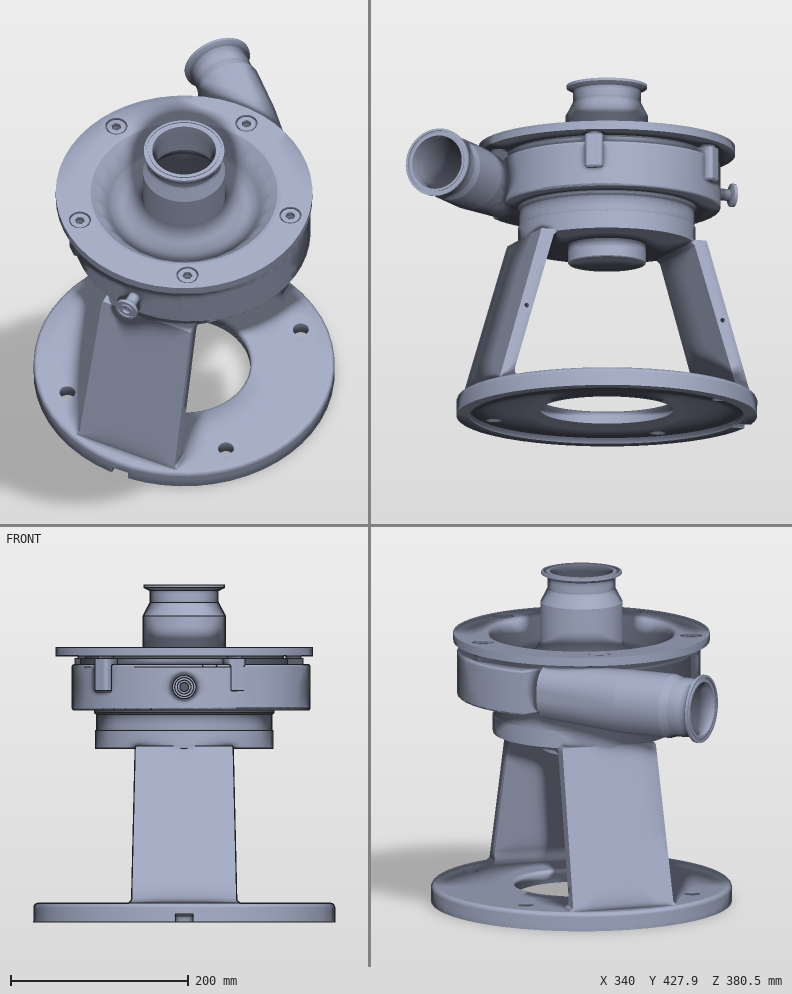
import cadquery as cq
import math

BASE_R = 170.0
BASE_T = 21.2
BASE_BORE_R = 75.0
BASE_FILLET = 5.0
BASE_BOLT_R = 140.0
BASE_BOLT_D = 18.0
BASE_BOLT_COUNT = 4
BASE_BOLT_START = 45.0
NOTCH_W = 20.0
NOTCH_H = 9.3
RECESS_R = 155.0
RECESS_DEPTH = 6.5

LEG_TOP_Z = 198.5
LEG_TOP_OUT_Y = 99.5
LEG_TOP_IN_Y = 83.0
LEG_BOT_OUT_Y = 152.0
LEG_BOT_IN_Y = 137.0
LEG_TOP_HALF_W = 55.5
LEG_BOT_HALF_W = 59.5
LEG_FOOT_R = 10.5
LEG_WELD = 3.5
LEG_TOP_WELD = 4.5
LEG_TOP_BEVEL = 1.0
LEG_HOLE_Y = 118.2
LEG_HOLE_Z = 107.5
LEG_HOLE_D = 5.5
LEG_HOLE_DEPTH = 15.0

RING_R = 100.3
RING_BOTTOM_Z = 196.0
RING_TOP_Z = 216.0
NECK_R = 99.0
NECK_TOP_Z = 234.0
COLLAR_R = 101.5
HOUSING_R = 44.0
HOUSING_BOTTOM_Z = 175.0
HOUSING_CHAMFER = 1.0

CASE_BOTTOM_Z = 239.3
CASE_TOP_Z = 290.5
CASE_FILLET = 2.5
VOLUTE_R = 134.3
VOLUTE_X = 7.9
VOLUTE_Y = 3.3
TONGUE_R = 118.3

PLATE_R = 145.0
PLATE_BOTTOM_Z = 300.5
PLATE_TOP_Z = 310.0
DISH_RIM_R = 107.0
DISH_RIM_CHAMFER = 2.5
DISH_DEPTH = 25.0
DISH_FILLET = 15.0
COVER_RING_R = 117.0
SPIGOT_R = 112.0

LUG_COUNT = 5
LUG_FIRST_ANGLE = 9.0
LUG_PITCH_R = 125.0
LUG_W = 20.0
LUG_OUTER_R = 135.0
LUG_INNER_R = 105.0
LUG_BOTTOM_Z = 259.5
LUG_TOP_Z = 297.5
LUG_FILLET = 4.0
LUG_CHAMFER = 2.0
WASHER_R = 8.5
SINK_R = 12.5
SINK_DEPTH = 4.0
HEAD_R = 10.5
HEAD_RECESS = 1.0
HEX_FLATS = 10.0
HEX_DEPTH = 6.0
HEX_TIP_R = 4.5
HEX_TIP_DEPTH = 2.6

SUCTION_R = 46.5
SUCTION_NECK_R = 38.4
SUCTION_CONE_BOTTOM_Z = 345.5
SUCTION_CONE_TOP_Z = 361.0
SUCTION_TOP_Z = 380.5
SUCTION_FLANGE_R = 45.5
SUCTION_BORE_R = 36.0
SUCTION_BORE_BOTTOM_Z = 250.0
SUCTION_BORE_NECK_Z = 341.0
SUCTION_FILLET = 19.0

OUTLET_TURN = -45.0
OUTLET_OFFSET = 115.0
OUTLET_Z = 262.2
OUTLET_R = 36.4
OUTLET_NECK_R = 33.0
OUTLET_WELD_R = 33.5
OUTLET_FLANGE_R = 38.75
OUTLET_BORE_R = 30.7
OUTLET_FACE = 211.0
OUTLET_WELD_END = 198.0
OUTLET_WELD_START = 193.5
OUTLET_CONE_END = 183.0
OUTLET_CONE_START = 173.0
DUCT_STRAIGHT_START = 116.5
DUCT_START = 15.0
DUCT_W = 50.0
DUCT_H = 61.0
DUCT_CORNER_R = 24.0
BORE_START = 60.0

FERRULE_RIM = 2.9
FERRULE_TAPER = 3.6
GROOVE_DEPTH = 1.5
GROOVE_W = 3.0
GROOVE_INSET = 2.5

DRAIN_Z = 265.3
DRAIN_R = 6.7
DRAIN_BORE_R = 5.0
DRAIN_FLANGE_R = 13.2
DRAIN_FACE_Y = -153.5
DRAIN_START_Y = -115.0
DRAIN_RIM = 4.0
DRAIN_TAPER = 2.0
DRAIN_BORE_DEPTH = 30.0


def disc(radius, z_low, z_high):
    return cq.Workplane("XY").workplane(offset=z_low).circle(radius).extrude(z_high - z_low)


def revolve_about_z(profile):
    return profile.close().revolve(360, (0, 0, 0), (0, 1, 0))


def base_plate():
    plate = disc(BASE_R, 0, BASE_T).cut(disc(BASE_BORE_R, 0, BASE_T))
    plate = plate.faces(">Z").edges().fillet(BASE_FILLET)
    bolts = (
        cq.Workplane("XY")
        .polarArray(BASE_BOLT_R, BASE_BOLT_START, 360, BASE_BOLT_COUNT)
        .circle(BASE_BOLT_D / 2)
        .extrude(BASE_T)
    )
    recess = disc(RECESS_R, 0, RECESS_DEPTH)
    rim_width = BASE_R - RECESS_R
    notch = cq.Workplane("XY").box(NOTCH_W, 2 * rim_width, NOTCH_H, centered=(True, True, False))
    return plate.cut(bolts).cut(recess).cut(notch.translate((0, -BASE_R, 0)))


def leg():
    """Leg on the -Y side: a sloping plate that narrows upward."""
    inner_slope = (LEG_BOT_IN_Y - LEG_TOP_IN_Y) / (LEG_TOP_Z - BASE_T)
    lean = math.atan(inner_slope)
    weld_y = LEG_TOP_IN_Y + inner_slope * (LEG_TOP_Z - RING_BOTTOM_Z + LEG_TOP_WELD)

    half_corner = (math.pi / 2 - lean) / 2
    tangent = LEG_FOOT_R / math.tan(half_corner)
    arc_gap = LEG_FOOT_R / math.sin(half_corner) - LEG_FOOT_R
    face_point = (-LEG_BOT_IN_Y + tangent * math.sin(lean), BASE_T + tangent * math.cos(lean))
    arc_point = (-LEG_BOT_IN_Y + arc_gap * math.cos(half_corner), BASE_T + arc_gap * math.sin(half_corner))
    base_point = (-LEG_BOT_IN_Y + tangent, BASE_T)

    side = (
        cq.Workplane("YZ")
        .moveTo(-LEG_BOT_OUT_Y, BASE_T)
        .lineTo(-LEG_TOP_OUT_Y, LEG_TOP_Z)
        .lineTo(-LEG_TOP_IN_Y, LEG_TOP_Z)
        .lineTo(-weld_y + LEG_TOP_WELD, RING_BOTTOM_Z)
        .lineTo(-weld_y, RING_BOTTOM_Z - LEG_TOP_WELD)
        .lineTo(*face_point)
        .threePointArc(arc_point, base_point)
        .close()
        .extrude(LEG_BOT_HALF_W + LEG_WELD, both=True)
    )
    front = (
        cq.Workplane("XZ")
        .moveTo(-LEG_BOT_HALF_W - LEG_WELD, BASE_T)
        .lineTo(-LEG_BOT_HALF_W, BASE_T + LEG_WELD)
        .lineTo(-LEG_TOP_HALF_W, RING_BOTTOM_Z)
        .lineTo(-LEG_TOP_HALF_W + LEG_TOP_BEVEL, LEG_TOP_Z)
        .lineTo(LEG_TOP_HALF_W - LEG_TOP_BEVEL, LEG_TOP_Z)
        .lineTo(LEG_TOP_HALF_W, RING_BOTTOM_Z)
        .lineTo(LEG_BOT_HALF_W, BASE_T + LEG_WELD)
        .lineTo(LEG_BOT_HALF_W + LEG_WELD, BASE_T)
        .close()
        .extrude(LEG_BOT_OUT_Y)
    )
    hole = (
        cq.Workplane("YZ", origin=(-LEG_BOT_HALF_W, -LEG_HOLE_Y, LEG_HOLE_Z))
        .circle(LEG_HOLE_D / 2)
        .extrude(LEG_HOLE_DEPTH)
    )
    return side.intersect(front).cut(hole)


def bracket():
    front_leg = leg()
    rear_leg = front_leg.mirror("XZ")
    ring = disc(RING_R, RING_BOTTOM_Z, RING_TOP_Z)
    neck = disc(NECK_R, RING_TOP_Z, CASE_BOTTOM_Z)
    collar = disc(COLLAR_R, NECK_TOP_Z, CASE_BOTTOM_Z).faces("<Z").edges().chamfer(COLLAR_R - NECK_R)
    housing = disc(HOUSING_R, HOUSING_BOTTOM_Z, RING_BOTTOM_Z).faces("<Z").edges().chamfer(HOUSING_CHAMFER)
    return front_leg.union(rear_leg).union(ring).union(neck).union(collar).union(housing)


def volute_casing():
    """Casing drum whose outline is two tangent arcs meeting at -X."""
    diagonal = math.sqrt(0.5)
    left_x = VOLUTE_X - VOLUTE_R
    tongue_x = left_x + TONGUE_R
    drum = (
        cq.Workplane("XY")
        .workplane(offset=CASE_BOTTOM_Z)
        .moveTo(VOLUTE_X + VOLUTE_R * diagonal, VOLUTE_Y + VOLUTE_R * diagonal)
        .threePointArc((VOLUTE_X, VOLUTE_Y - VOLUTE_R), (left_x, VOLUTE_Y))
        .threePointArc(
            (tongue_x, VOLUTE_Y + TONGUE_R),
            (tongue_x + TONGUE_R * diagonal, VOLUTE_Y + TONGUE_R * diagonal),
        )
        .close()
        .extrude(CASE_TOP_Z - CASE_BOTTOM_Z)
    )
    return drum.faces("<Z or >Z").edges().fillet(CASE_FILLET)


def cover():
    plate = disc(PLATE_R, PLATE_BOTTOM_Z, PLATE_TOP_Z)
    seat = disc(COVER_RING_R, CASE_TOP_Z, LUG_TOP_Z)
    spigot = disc(SPIGOT_R, LUG_TOP_Z, PLATE_BOTTOM_Z)
    return plate.union(seat).union(spigot)


def dish():
    """Ring-shaped hollow around the suction pipe, with a 45 degree outer wall."""
    half = math.radians(22.5)
    floor_z = PLATE_TOP_Z - DISH_DEPTH
    wall_foot_r = DISH_RIM_R - DISH_DEPTH
    tangent = DISH_FILLET * math.tan(half)
    floor_r = wall_foot_r - tangent
    wall_r = wall_foot_r + tangent * math.cos(2 * half)
    wall_z = floor_z + tangent * math.sin(2 * half)
    mid_r = floor_r + DISH_FILLET * math.sin(half)
    mid_z = floor_z + DISH_FILLET * (1 - math.cos(half))
    pipe_fillet_r = SUCTION_R + SUCTION_FILLET
    side_gap = SUCTION_FILLET * (1 - math.sqrt(0.5))
    rim_bottom = PLATE_TOP_Z - DISH_RIM_CHAMFER / 2
    hollow = (
        cq.Workplane("XZ")
        .moveTo(DISH_RIM_R + DISH_RIM_CHAMFER, PLATE_TOP_Z)
        .lineTo(DISH_RIM_R - DISH_RIM_CHAMFER / 2, rim_bottom)
        .lineTo(wall_r, wall_z)
        .threePointArc((mid_r, mid_z), (floor_r, floor_z))
        .lineTo(pipe_fillet_r, floor_z)
        .threePointArc(
            (SUCTION_R + side_gap, floor_z + side_gap),
            (SUCTION_R, floor_z + SUCTION_FILLET),
        )
        .lineTo(SUCTION_R, PLATE_TOP_Z)
    )
    return revolve_about_z(hollow)


def ferrule(neck_r, flange_r, bore_r, rim=FERRULE_RIM, taper=FERRULE_TAPER):
    """Clamp flange with its sealing face at z = 0 and its neck toward -z."""
    rim_r = flange_r - GROOVE_INSET
    profile = (
        cq.Workplane("XZ")
        .moveTo(bore_r, 0)
        .lineTo(rim_r - GROOVE_W, 0)
        .lineTo(rim_r - GROOVE_W, -GROOVE_DEPTH)
        .lineTo(rim_r, -GROOVE_DEPTH)
        .lineTo(rim_r, 0)
        .lineTo(flange_r, 0)
        .lineTo(flange_r, -rim)
        .lineTo(neck_r, -rim - taper)
        .lineTo(bore_r, -rim - taper)
    )
    return revolve_about_z(profile)


def suction_pipe():
    ferrule_bottom_z = SUCTION_TOP_Z - FERRULE_RIM - FERRULE_TAPER
    body = (
        cq.Workplane("XZ")
        .moveTo(0, PLATE_BOTTOM_Z)
        .lineTo(SUCTION_R, PLATE_BOTTOM_Z)
        .lineTo(SUCTION_R, SUCTION_CONE_BOTTOM_Z)
        .lineTo(SUCTION_NECK_R, SUCTION_CONE_TOP_Z)
        .lineTo(SUCTION_NECK_R, ferrule_bottom_z)
        .lineTo(0, ferrule_bottom_z)
    )
    flange = ferrule(SUCTION_NECK_R, SUCTION_FLANGE_R, SUCTION_BORE_R)
    return revolve_about_z(body).union(flange.translate((0, 0, SUCTION_TOP_Z)))


def suction_bore():
    """Bore that widens with the pipe and ends on a flat floor inside the casing."""
    wall = SUCTION_NECK_R - SUCTION_BORE_R
    wide_r = SUCTION_R - wall
    cone_height = SUCTION_CONE_TOP_Z - SUCTION_CONE_BOTTOM_Z
    bore = (
        cq.Workplane("XZ")
        .moveTo(0, SUCTION_BORE_BOTTOM_Z)
        .lineTo(wide_r, SUCTION_BORE_BOTTOM_Z)
        .lineTo(wide_r, SUCTION_BORE_NECK_Z - cone_height)
        .lineTo(SUCTION_BORE_R, SUCTION_BORE_NECK_Z)
        .lineTo(SUCTION_BORE_R, SUCTION_TOP_Z)
        .lineTo(0, SUCTION_TOP_Z)
    )
    return revolve_about_z(bore)


def place_on_outlet_axis(shape):
    """Turn a shape built along +Z so that it lies on the discharge pipe axis."""
    along_minus_x = shape.rotate((0, 0, 0), (0, 1, 0), -90)
    shifted = along_minus_x.translate((0, OUTLET_OFFSET, OUTLET_Z))
    return shifted.rotate((0, 0, 0), (0, 0, 1), OUTLET_TURN)


def discharge_pipe():
    ferrule_start = OUTLET_FACE - FERRULE_RIM - FERRULE_TAPER
    pipe = (
        cq.Workplane("XZ")
        .moveTo(0, DUCT_STRAIGHT_START)
        .lineTo(OUTLET_R, DUCT_STRAIGHT_START)
        .lineTo(OUTLET_R, OUTLET_CONE_START)
        .lineTo(OUTLET_WELD_R, OUTLET_CONE_END)
        .lineTo(OUTLET_WELD_R, OUTLET_WELD_START)
        .lineTo(OUTLET_NECK_R, OUTLET_WELD_END)
        .lineTo(OUTLET_NECK_R, ferrule_start)
        .lineTo(0, ferrule_start)
    )
    flange = ferrule(OUTLET_NECK_R, OUTLET_FLANGE_R, OUTLET_BORE_R).translate((0, 0, OUTLET_FACE))
    return place_on_outlet_axis(revolve_about_z(pipe).union(flange))


def discharge_duct():
    """Transition from the rounded casing throat to the round pipe."""
    case_mid = (CASE_TOP_Z + CASE_BOTTOM_Z) / 2
    outer_edge = VOLUTE_R + (VOLUTE_X + VOLUTE_Y) * math.sqrt(0.5)
    throat_centre = cq.Vector(case_mid - OUTLET_Z, outer_edge - DUCT_W / 2 - OUTLET_OFFSET, 0)
    throat = cq.Sketch().rect(DUCT_H, DUCT_W).vertices().fillet(DUCT_CORNER_R)
    throat = throat.moved(cq.Location(throat_centre))
    pipe_end = cq.Sketch().circle(OUTLET_R)
    pipe_end = pipe_end.moved(cq.Location(cq.Vector(0, 0, DUCT_STRAIGHT_START - DUCT_START)))
    duct = cq.Workplane("XY").workplane(offset=DUCT_START).placeSketch(throat, pipe_end).loft()
    return place_on_outlet_axis(duct)


def discharge_bore():
    bore = cq.Workplane("XY").workplane(offset=BORE_START).circle(OUTLET_BORE_R)
    return place_on_outlet_axis(bore.extrude(OUTLET_FACE - BORE_START))


def lug():
    """Screw lug on the +X side, with its washer under the cover plate."""
    length = LUG_OUTER_R - LUG_INNER_R
    block = (
        cq.Workplane("XY")
        .box(length, LUG_W, LUG_TOP_Z - LUG_BOTTOM_Z, centered=(False, True, False))
        .edges("|Z and >X").fillet(LUG_FILLET)
        .faces("<Z").edges(">X").chamfer(LUG_CHAMFER)
        .translate((LUG_INNER_R, 0, LUG_BOTTOM_Z))
    )
    washer = disc(WASHER_R, LUG_TOP_Z, PLATE_BOTTOM_Z).translate((LUG_PITCH_R, 0, 0))
    return block.union(washer)


def screw_recess():
    """Space around and above a sunk screw head, plus its hexagon socket."""
    sink = disc(SINK_R, PLATE_TOP_Z - SINK_DEPTH, PLATE_TOP_Z)
    head = disc(HEAD_R, PLATE_TOP_Z - SINK_DEPTH, PLATE_TOP_Z - HEAD_RECESS)
    socket = (
        cq.Workplane("XY")
        .workplane(offset=PLATE_TOP_Z - HEX_DEPTH)
        .polygon(6, HEX_FLATS, circumscribed=True)
        .extrude(HEX_DEPTH)
    )
    tip = cq.Workplane(cq.Solid.makeCone(0, HEX_TIP_R, HEX_TIP_DEPTH))
    tip = tip.translate((0, 0, PLATE_TOP_Z - HEX_DEPTH - HEX_TIP_DEPTH))
    return sink.cut(head).union(socket).union(tip).translate((LUG_PITCH_R, 0, 0))


def drain_stub():
    """Small clamp stub on the -Y side of the casing."""
    length = DRAIN_START_Y - DRAIN_FACE_Y
    tube = disc(DRAIN_R, 0, length - DRAIN_RIM).cut(disc(DRAIN_BORE_R, length - DRAIN_BORE_DEPTH, length))
    flange = ferrule(DRAIN_R, DRAIN_FLANGE_R, DRAIN_BORE_R, DRAIN_RIM, DRAIN_TAPER)
    stub = tube.union(flange.translate((0, 0, length)))
    return stub.rotate((0, 0, 0), (1, 0, 0), 90).translate((0, DRAIN_START_Y, DRAIN_Z))


def at_lug(shape, index):
    """Turn a shape built on the +X side to the position of one lug."""
    angle = LUG_FIRST_ANGLE + index * 360 / LUG_COUNT
    return shape.rotate((0, 0, 0), (0, 0, 1), angle)


body = base_plate().union(bracket()).union(volute_casing()).union(cover())
for i in range(LUG_COUNT):
    body = body.union(at_lug(lug(), i))
body = body.cut(dish()).union(suction_pipe())
body = body.union(discharge_duct()).union(discharge_pipe()).union(drain_stub())
for i in range(LUG_COUNT):
    body = body.cut(at_lug(screw_recess(), i))
result = body.cut(suction_bore()).cut(discharge_bore())